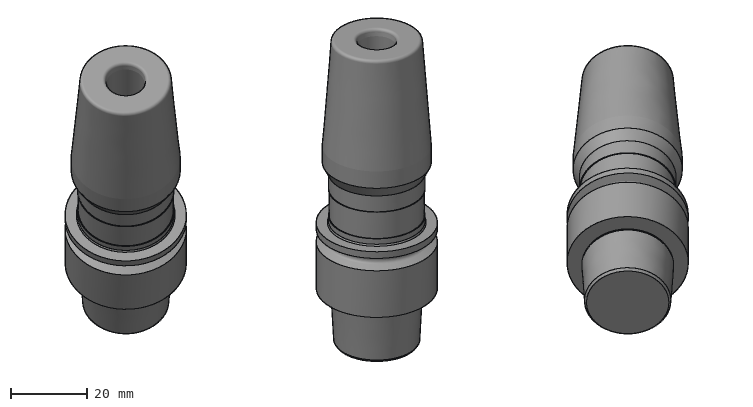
import cadquery as cq

total_length = 90.9
shank_tip_chamfer_top = 0.7
shank_top = 15.0
collar_bottom = 16.1
collar_top = 30.1
flange_bottom = 33.8
flange_top = 35.8
neck_foot_chamfer_top = 36.3
neck_foot_top = 37.9
neck_step = 45.9
neck_top = 50.8
head_bottom = 54.0
head_taper_start = 59.0

flange_radius = 15.95
groove_radius = 13.3
groove_floor_width = 1.7
groove_fillet = 0.9
shank_end_radius = 10.8
shank_tip_radius = 11.4
shank_top_radius = 12.1
shank_relief_radius = 11.7
shank_land_height = 0.3
shank_relief_height = 0.6
neck_radius = 12.5
neck_chamfer_radius = 13.0
neck_shoulder_radius = 12.7
head_radius = 14.4
nose_radius = 12.0
nose_fillet = 0.9

bore_radius = 5.0
bore_mouth_rounding = 0.9
bore_lead_in_radius = 5.2
bore_lead_in_depth = 2.0
bore_depth = 36.4

groove_center = (collar_top + flange_bottom) / 2
groove_floor_bottom = groove_center - groove_floor_width / 2
groove_floor_top = groove_center + groove_floor_width / 2


def make_body():
    """Solid of revolution: shank, grooved flange, neck and tapered head."""
    return (
        cq.Workplane("XZ")
        .lineTo(shank_end_radius, 0)
        .lineTo(shank_tip_radius, shank_tip_chamfer_top)
        .lineTo(shank_top_radius, shank_top)
        .lineTo(shank_top_radius, shank_top + shank_land_height)
        .lineTo(shank_relief_radius, shank_top + shank_relief_height)
        .lineTo(shank_relief_radius, collar_bottom)
        .lineTo(flange_radius, collar_bottom)
        .lineTo(flange_radius, collar_top)
        .lineTo(groove_radius, groove_floor_bottom)
        .lineTo(groove_radius, groove_floor_top)
        .lineTo(flange_radius, flange_bottom)
        .lineTo(flange_radius, flange_top)
        .lineTo(neck_chamfer_radius, flange_top)
        .lineTo(neck_shoulder_radius, neck_foot_chamfer_top)
        .lineTo(neck_shoulder_radius, neck_foot_top)
        .lineTo(neck_radius, neck_foot_top)
        .lineTo(neck_radius, neck_step)
        .lineTo(neck_shoulder_radius, neck_step)
        .lineTo(neck_shoulder_radius, neck_top)
        .lineTo(head_radius, head_bottom)
        .lineTo(head_radius, head_taper_start)
        .lineTo(nose_radius, total_length)
        .lineTo(0, total_length)
        .close()
        .revolve(360, (0, 0), (0, 1))
    )


def make_bore():
    """Blind bore with a slight conical lead-in and a rounded mouth at the nose."""
    bore_bottom = total_length - bore_depth
    lead_in_bottom = total_length - bore_lead_in_depth
    rounding_bottom = total_length - bore_mouth_rounding
    mouth_radius = bore_lead_in_radius + bore_mouth_rounding
    return (
        cq.Workplane("XZ")
        .moveTo(0, bore_bottom)
        .lineTo(bore_radius, bore_bottom)
        .lineTo(bore_radius, lead_in_bottom)
        .lineTo(bore_lead_in_radius, rounding_bottom)
        .radiusArc((mouth_radius, total_length), bore_mouth_rounding)
        .lineTo(0, total_length)
        .close()
        .revolve(360, (0, 0), (0, 1))
    )


def make_groove_floor_selector():
    """Box holding only the two circular edges at the bottom of the V groove."""
    margin = 0.2
    reach = groove_radius + margin
    return cq.selectors.BoxSelector(
        (-reach, -reach, groove_floor_bottom - margin),
        (reach, reach, groove_floor_top + margin),
        boundingbox=True,
    )


body = make_body()
body = body.edges("%CIRCLE").edges(make_groove_floor_selector()).fillet(groove_fillet)
body = body.faces(">Z").edges().fillet(nose_fillet)
result = body.cut(make_bore())